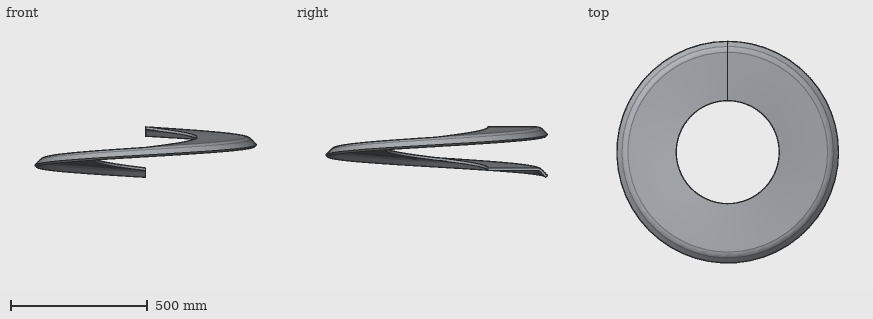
import cadquery as cq
import math

outer_radius = 404.78
inner_radius = 187.5
pitch = 150.0
overall_height = 185.0
thickness = 10.0
bend_radius = 30.0
rim_angle = math.radians(45.0)

sin_rim = math.sin(rim_angle)
cos_rim = math.cos(rim_angle)
section_height = overall_height - pitch
tip_drop = section_height - thickness * cos_rim
bend_drop = bend_radius * (1 - cos_rim)
rim_run = (tip_drop - bend_drop) / math.tan(rim_angle)
bend_start_radius = outer_radius - rim_run - bend_radius * sin_rim


def bend_point(radius, angle):
    """Point on the bend, in (radius, height), turned by angle from the flat."""
    return (
        bend_start_radius + radius * math.sin(angle),
        radius * math.cos(angle) - bend_radius,
    )


def section():
    """Section in the YZ plane, where the turn starts on the +Y side."""
    inside_radius = bend_radius - thickness
    tip_lower = (outer_radius - thickness * sin_rim, -section_height)
    return (
        cq.Workplane("YZ")
        .moveTo(inner_radius, 0)
        .lineTo(bend_start_radius, 0)
        .threePointArc(bend_point(bend_radius, rim_angle / 2), bend_point(bend_radius, rim_angle))
        .lineTo(outer_radius, -tip_drop)
        .lineTo(*tip_lower)
        .lineTo(*bend_point(inside_radius, rim_angle))
        .threePointArc(bend_point(inside_radius, rim_angle / 2), (bend_start_radius, -thickness))
        .lineTo(inner_radius, -thickness)
        .close()
    )


def helical_path():
    """One turn along the inner edge, starting on the +Y side."""
    helix = cq.Wire.makeHelix(pitch, pitch, inner_radius)
    return cq.Workplane(helix.rotate(cq.Vector(0, 0, 0), cq.Vector(0, 0, 1), 90))


result = section().sweep(helical_path(), isFrenet=True)